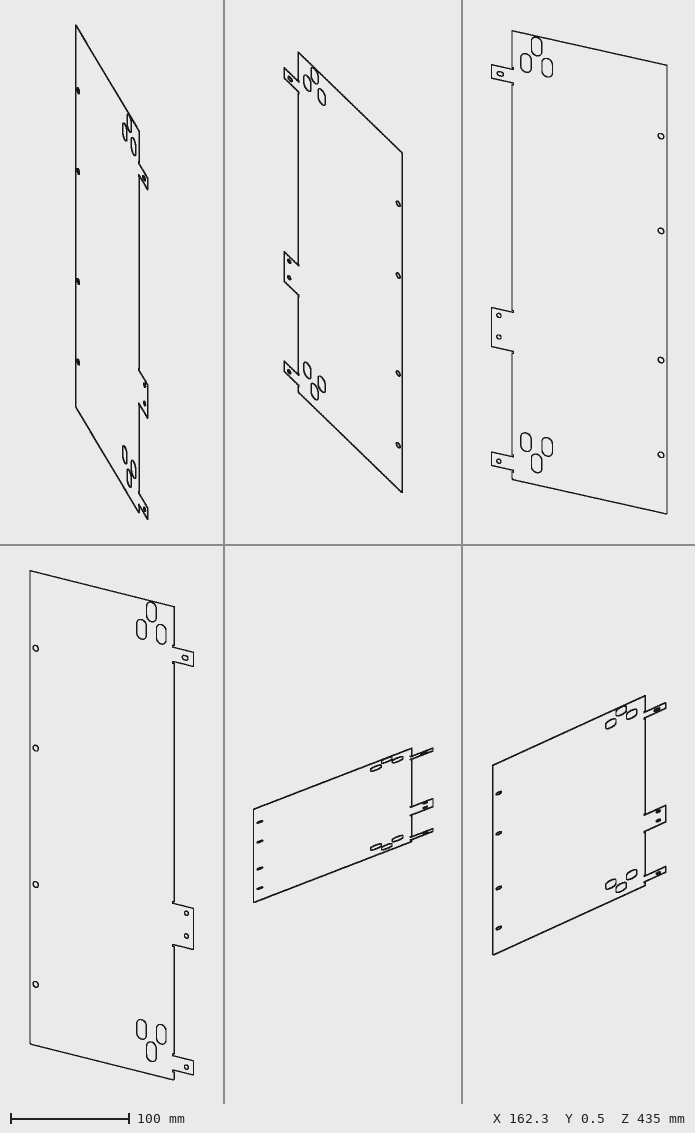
import cadquery as cq

HEIGHT = 435
TOTAL_WIDTH = 162.3
BODY_WIDTH = 143.0
THICKNESS = 0.5
CORNER_RADIUS = 1.5

LOWER_TAB = (9.0, 22.0)
MIDDLE_TAB = (124.5, 162.3)
UPPER_TAB = (384.5, 397.5)
RELIEF_DEPTH = 1.5
RELIEF_HEIGHT = 1.7

TAB_HOLE_DIAMETER = 4.0
TAB_HOLE_X = 155.5
TAB_HOLE_HEIGHTS = (15.0, 135.5, 156.0)
TAB_SLOT_X = 154.0
TAB_SLOT_Z = 390.5
TAB_SLOT_LENGTH = 5.5

EDGE_HOLE_DIAMETER = 5.2
EDGE_HOLE_X = 5.5
EDGE_PAIR_BOTTOMS = (56.0, 273.0)
EDGE_PAIR_SPACING = 92.0

SLOT_WIDTH = 9.5
SLOT_LENGTH = 18.0
CLUSTER_X = 120.5
PAIR_SPACING = 19.5
SINGLE_OFFSET = 18.3
LOWER_PAIR_Z = 39
UPPER_PAIR_Z = 406.7


def rectangle(left, right, bottom, top):
    """Sheet-thick block spanning the given limits."""
    return cq.Workplane("XY").box(right - left, THICKNESS, top - bottom, centered=False).translate(
        (left, 0, bottom)
    )


def face_points(points):
    """Workplane on the front face with the given (x, z) points selected."""
    return cq.Workplane("XZ").pushPoints(points)


def through_holes(points, diameter):
    return face_points(points).circle(diameter / 2).extrude(-THICKNESS)


def through_slots(points, length, width, angle):
    return face_points(points).slot2D(length, width, angle).extrude(-THICKNESS)


def add_tab(sheet, bottom, top):
    """Add a tab with a relief notch in the body edge above and below it."""
    sheet = sheet.union(rectangle(BODY_WIDTH - RELIEF_DEPTH, TOTAL_WIDTH, bottom, top))
    for notch_bottom in (bottom - RELIEF_HEIGHT, top):
        notch_top = notch_bottom + RELIEF_HEIGHT
        sheet = sheet.cut(rectangle(BODY_WIDTH - RELIEF_DEPTH, BODY_WIDTH, notch_bottom, notch_top))
    return sheet


def slot_cluster(pair_z, single_z):
    points = [
        (CLUSTER_X - PAIR_SPACING / 2, pair_z),
        (CLUSTER_X + PAIR_SPACING / 2, pair_z),
        (CLUSTER_X, single_z),
    ]
    return through_slots(points, SLOT_LENGTH, SLOT_WIDTH, 90)


sheet = rectangle(0, BODY_WIDTH, 0, HEIGHT).edges("|Y and <Z").fillet(CORNER_RADIUS)
for tab_bottom, tab_top in (LOWER_TAB, MIDDLE_TAB, UPPER_TAB):
    sheet = add_tab(sheet, tab_bottom, tab_top)

sheet = sheet.cut(through_holes([(TAB_HOLE_X, z) for z in TAB_HOLE_HEIGHTS], TAB_HOLE_DIAMETER))
sheet = sheet.cut(
    through_slots([(TAB_SLOT_X, TAB_SLOT_Z)], TAB_SLOT_LENGTH, TAB_HOLE_DIAMETER, 0)
)

for pair_bottom in EDGE_PAIR_BOTTOMS:
    pair = [(EDGE_HOLE_X, pair_bottom), (EDGE_HOLE_X, pair_bottom + EDGE_PAIR_SPACING)]
    sheet = sheet.cut(through_holes(pair, EDGE_HOLE_DIAMETER))

sheet = sheet.cut(slot_cluster(LOWER_PAIR_Z, LOWER_PAIR_Z - SINGLE_OFFSET))
sheet = sheet.cut(slot_cluster(UPPER_PAIR_Z, UPPER_PAIR_Z + SINGLE_OFFSET))

result = sheet